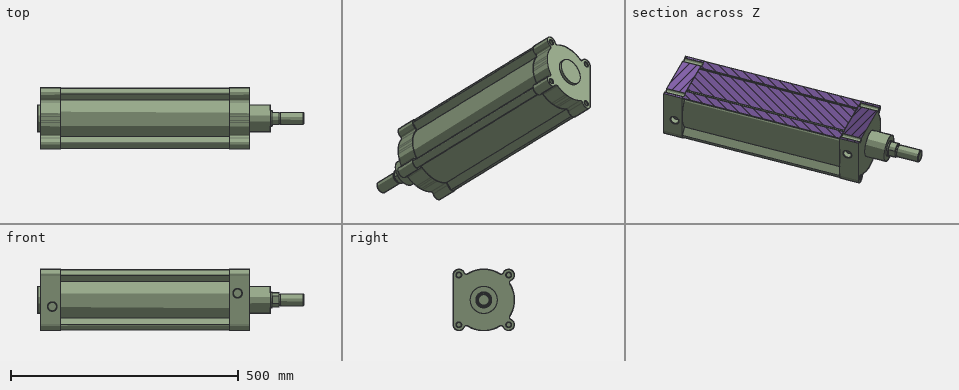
import cadquery as cq
import math


total_length = 585.0
spigot_length = 6.0
cap_length = 44.5
front_cap_end = 465.5
nose_end = 511.0
collar_end = 515.0
shoulder_end = 530.5
thread_start = 534.0
rear_cap_end = spigot_length + cap_length
front_cap_start = front_cap_end - cap_length

cap_width = 135.0
cap_disc_radius = 68.0
flat_blend_radius = 38.0
lobe_radius = 13.0
lobe_offset = cap_width / 2 - lobe_radius
notch_fillet = 4.5
bolt_hole_radius = 5.0
hole_chamfer = 1.0
spigot_radius = 30.0
nose_radius = spigot_radius
collar_radius = 17.5

port_radius = 9.5
port_depth = 14.0
port_height = 14.5
port_distance = 26.5

barrel_width = 133.5
barrel_radius = barrel_width / 2
rail_corner_radius = 13.0
rail_width = math.sqrt(2) * rail_corner_radius

rod_radius = 16.0
flat_gap = 1.0
rod_flat_width = 27.0
relief_radius = 12.0
thread_radius = 13.5
thread_chamfer = 2.0


def cylinder_x(start, end, radius, y=0, z=0):
    return cq.Workplane("YZ", origin=(start, y, z)).circle(radius).extrude(end - start)


def box_x(start, end, width, height):
    return cq.Workplane("YZ", origin=(start, 0, 0)).rect(width, height).extrude(end - start)


def corner_points(offset):
    return [(y, z) for y in (-offset, offset) for z in (-offset, offset)]


def polar(radius, angle):
    return (radius * math.cos(angle), radius * math.sin(angle))


def turned(point, angle):
    y, z = point
    return (y * math.cos(angle) - z * math.sin(angle), y * math.sin(angle) + z * math.cos(angle))


def make_cap_disc(start):
    """Disc with a narrow flat at each side, blended into the round rim by tangent arcs."""
    blend_y = cap_width / 2 - flat_blend_radius
    flat_half = math.sqrt((cap_disc_radius - flat_blend_radius) ** 2 - blend_y**2)
    blend_angle = math.atan2(flat_half, blend_y)
    blend_mid_y, blend_mid_z = polar(flat_blend_radius, blend_angle / 2)

    flat_corner = (cap_width / 2, flat_half)
    blend_mid = (blend_y + blend_mid_y, flat_half + blend_mid_z)
    rim_start = polar(cap_disc_radius, blend_angle)
    rim_mid = polar(cap_disc_radius, math.pi / 4)
    quarter_turn = math.pi / 2

    outline = cq.Workplane("YZ", origin=(start, 0, 0)).moveTo(cap_width / 2, -flat_half)
    for quarter in range(4):
        def place(point):
            return turned(point, quarter * quarter_turn)

        def mirrored(point):
            return place((point[1], point[0]))

        outline = outline.lineTo(*place(flat_corner))
        outline = outline.threePointArc(place(blend_mid), place(rim_start))
        outline = outline.threePointArc(place(rim_mid), mirrored(rim_start))
        outline = outline.threePointArc(mirrored(blend_mid), mirrored(flat_corner))
    return outline.close().extrude(cap_length)


def is_notch(edge):
    """True for the inner corners where a lobe meets the round rim."""
    distances = sorted((abs(edge.Center().y), abs(edge.Center().z)))
    return lobe_offset / 2 < distances[0] and distances[1] < lobe_offset


def make_cap_plate(start):
    """Disc with four bolt lobes, filled out to a flat face on the -Y side."""
    end = start + cap_length
    plate = make_cap_disc(start)
    for y, z in corner_points(lobe_offset):
        plate = plate.union(cylinder_x(start, end, lobe_radius, y, z))
    fill_depth = 1.5 * lobe_radius
    fill_middle = (fill_depth - cap_width) / 2
    side_fill = box_x(start, end, fill_depth, 2 * lobe_offset).translate((0, fill_middle, 0))
    plate = plate.union(side_fill)
    return plate.newObject(plate.edges("|X").filter(is_notch).vals()).fillet(notch_fillet)


def chamfered_drill(origin, direction, radius, depth):
    """Cutter for a hole entering at origin along direction, with a chamfered mouth."""
    plane = cq.Plane(origin=origin, normal=direction)
    hole = cq.Workplane(plane).circle(radius).extrude(depth)
    mouth = cq.Solid.makeCone(radius + hole_chamfer, radius, hole_chamfer, plane.origin, plane.zDir)
    return hole.union(cq.Workplane(mouth))


def drill_cap(plate, outer_face, inward, port_z):
    """Cut the bolt holes, in from the outer face, and the air port in the flat side.

    inward is the X direction, 1 or -1, that leads from the outer face to the barrel.
    """
    for y, z in corner_points(lobe_offset):
        plate = plate.cut(chamfered_drill((outer_face, y, z), (inward, 0, 0), bolt_hole_radius, cap_length))
    port_mouth = (outer_face + inward * port_distance, -cap_width / 2, port_z)
    return plate.cut(chamfered_drill(port_mouth, (0, 1, 0), port_radius, port_depth))


def make_rear_cap():
    cap = drill_cap(make_cap_plate(spigot_length), spigot_length, 1, -port_height)
    return cap.union(cylinder_x(0, spigot_length, spigot_radius))


def make_front_cap():
    """Cap with its nose and collar, bored through for the piston rod."""
    cap = drill_cap(make_cap_plate(front_cap_start), front_cap_end, -1, port_height)
    cap = cap.union(cylinder_x(front_cap_end, nose_end, nose_radius))
    cap = cap.union(cylinder_x(nose_end, collar_end, collar_radius))
    return cap.cut(cylinder_x(front_cap_start, collar_end, rod_radius))


def make_barrel():
    """Round body with four corner rails: diagonal ribs that end in a rounded square corner."""
    envelope = box_x(rear_cap_end, front_cap_start, barrel_width, barrel_width)
    envelope = envelope.edges("|X").fillet(rail_corner_radius)
    cross_length = 2 * barrel_width
    ribs = box_x(rear_cap_end, front_cap_start, cross_length, rail_width)
    ribs = ribs.union(box_x(rear_cap_end, front_cap_start, rail_width, cross_length))
    rails = ribs.rotate((0, 0, 0), (1, 0, 0), 45).intersect(envelope)
    return rails.union(cylinder_x(rear_cap_end, front_cap_start, barrel_radius))


def make_rod():
    """Rod with two wrench flats, a relief groove and a chamfered thread end."""
    shank = cylinder_x(front_cap_start, shoulder_end, rod_radius)
    flat_start = collar_end + flat_gap
    flat_body = box_x(flat_start, shoulder_end, rod_flat_width, 2 * rod_radius)
    shank = shank.cut(cylinder_x(flat_start, shoulder_end, rod_radius).cut(flat_body))
    relief = cylinder_x(shoulder_end, thread_start, relief_radius)
    thread = cylinder_x(thread_start, total_length, thread_radius).faces(">X").chamfer(thread_chamfer)
    return shank.union(relief).union(thread)


rear_cap = make_rear_cap()
barrel = make_barrel()
front_cap = make_front_cap()
rod = make_rod()
result = cq.Compound.makeCompound([rear_cap.val(), barrel.val(), front_cap.val(), rod.val()])